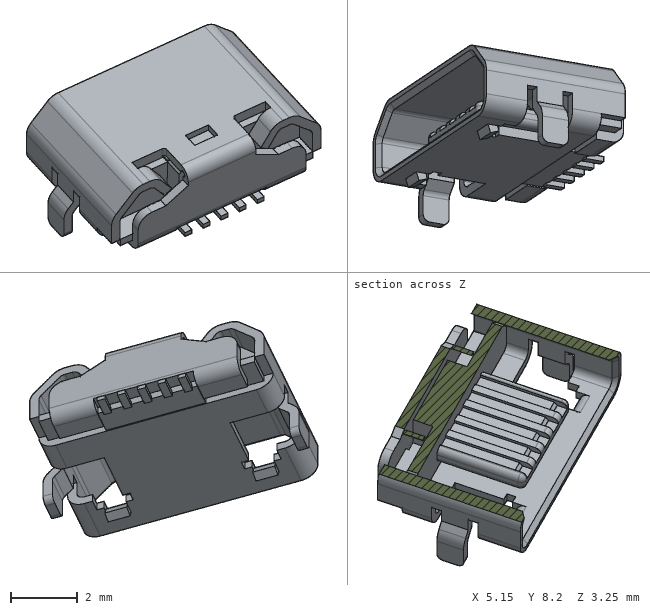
import cadquery as cq
import math


margin = 0.08

wall = 0.3
bend_radius = 0.54
inner_bend_radius = bend_radius - wall

shell_length = 4.69
shell_half_width = 3.755
shell_height = 2.435
shoulder = 0.91
mouth_bevel = 0.155
floor_length = 3.89
roof_underside = shell_height - wall

leg_reach = 4.1
leg_bottom = -0.81
leg_start, leg_end = 1.71, 2.59
leg_slot = 0.32
leg_slot_top = 1.04
leg_corner = 0.21
leg_slant = 45

latch_centre = 2.37
latch_width = 0.705
latch_hinge = 0.57
latch_length = 0.28
latch_angle = 70
relief_start, relief_end = 1.025, 1.3
relief_width = 1.165

notch_start = 3.72
notch_inner, notch_outer = 1.21, 2.39
notch_corner = 0.1
flap_start = 4.02
flap_angle = 55
flap_tip = 1.6

window_start, window_end = 3.625, 4.13
window_width = 0.82
window_depth = 0.22
stop_radius = 0.255

back = 5.01
plate_front = back - wall
plate_radius = 0.4
plate_bend = back - plate_radius
plate_half_width = 3.01
plate_corner = 0.49
plate_shoulder = 2.02
plate_shoulder_height = 1.47
plate_tab_start = 4.09
plate_ear_height = 1.895
plate_gap = 1.6
bend_relief = 0.11

housing_front = window_start
housing_wall_end = 3.97
housing_clearance = 0.05
block_bevel = 0.065
block_foot_half_width = 1.3
base_top = 0.57
base_bottom = 0.04

tongue_tip = 0.77
tongue_half_width = 1.74
tongue_bottom, tongue_top = 0.57, 1.165
tongue_round = 0.205
nose_round = 0.2
contact_count = 5
contact_pitch = 0.65
contact_places = [(i - (contact_count - 1) / 2) * contact_pitch for i in range(contact_count)]
groove_width = 0.39
groove_depth = 0.205
contact_setback = 0.33
contact_rise = 0.11
contact_bevel = 0.1

tail_start, tail_end = 4.56, 5.15
tail_width = 0.25
tail_bottom, tail_top = -0.03, 0.13


def box(x_range, y_range, z_range):
    """Box between the given limits."""
    sizes = [high - low for low, high in (x_range, y_range, z_range)]
    corner = (x_range[0], y_range[0], z_range[0])
    return cq.Workplane("XY").box(*sizes, centered=False).translate(corner)


def both_sides(body):
    """The body together with its mirror image across the middle plane."""
    return body.union(body.mirror("XZ"))


def section(inset, start, length):
    """Shell-shaped prism along X, set in from the outside of the shell by `inset`."""
    half = shell_half_width - inset
    bottom, top = inset, shell_height - inset
    cut = shoulder - inset * (2 - math.sqrt(2))
    corners = [
        (-half, bottom),
        (half, bottom),
        (half, top - cut),
        (half - cut, top),
        (cut - half, top),
        (-half, top - cut),
    ]
    sharp = cq.Workplane("YZ").polyline(corners).close().extrude(length)
    rounded = sharp.edges("|X").fillet(bend_radius - inset)
    return rounded.translate((start, 0, 0))


def make_tube():
    tube = section(0, 0, shell_length).cut(section(wall, 0, shell_length))
    mouth_edges = tube.faces("<X").val().innerWires()[0].Edges()
    tube = tube.newObject(mouth_edges).chamfer(mouth_bevel)
    wide = shell_half_width + margin
    tube = tube.cut(box((floor_length, shell_length), (-wide, wide), (0, bend_radius)))
    return tube.cut(
        box((plate_bend, shell_length), (-notch_inner, notch_inner), (roof_underside, shell_height))
    )


def make_leg_opening():
    """Slots beside a leg and the floor cut-out that the leg and the latch are folded from."""
    start, end = leg_start - leg_slot, leg_end + leg_slot
    outside = shell_half_width + margin
    latch_inside, latch_outside = latch_centre - latch_width / 2, latch_centre + latch_width / 2
    relief_inside, relief_outside = latch_centre - relief_width / 2, latch_centre + relief_width / 2
    opening = box((start, end), (latch_inside, outside), (-margin, bend_radius))
    for low, high in ((start, leg_start), (leg_end, end)):
        opening = opening.union(box((low, high), (shell_half_width - 2 * wall, outside), (0, leg_slot_top)))
    return (
        opening.union(box((latch_hinge, start), (latch_inside, latch_outside), (-margin, wall)))
        .union(box((relief_start, relief_end), (relief_inside, latch_inside), (-margin, wall)))
        .union(box((relief_start, start), (latch_outside, relief_outside), (-margin, wall)))
    )


def make_leg():
    """Leg that slants outwards from the side wall and then hangs straight down."""
    slant = math.radians(leg_slant)
    centre_y = leg_reach - bend_radius
    outer_y = centre_y + bend_radius * math.cos(slant)
    outer_z = bend_radius * math.sin(slant)
    inner_y = centre_y + inner_bend_radius * math.cos(slant)
    inner_z = inner_bend_radius * math.sin(slant)
    half = slant / 2
    root_z = outer_z + (outer_y - shell_half_width) * math.tan(slant)
    inner_root_z = inner_z + (inner_y - shell_half_width + wall) * math.tan(slant)
    leg = (
        cq.Workplane("YZ")
        .moveTo(leg_reach, leg_bottom)
        .lineTo(leg_reach, 0)
        .threePointArc(
            (centre_y + bend_radius * math.cos(half), bend_radius * math.sin(half)), (outer_y, outer_z)
        )
        .lineTo(shell_half_width, root_z)
        .lineTo(shell_half_width - wall, root_z)
        .lineTo(shell_half_width - wall, inner_root_z)
        .lineTo(inner_y, inner_z)
        .threePointArc(
            (centre_y + inner_bend_radius * math.cos(half), inner_bend_radius * math.sin(half)),
            (leg_reach - wall, 0),
        )
        .lineTo(leg_reach - wall, leg_bottom)
        .close()
        .extrude(leg_end - leg_start)
        .translate((leg_start, 0, 0))
    )
    return leg.faces("<Z").edges("|Y").fillet(leg_corner)


def make_latch():
    """Strip of the floor folded down about its underside."""
    turn = math.radians(latch_angle)
    along = (math.cos(turn) * latch_length, -math.sin(turn) * latch_length)
    across = (math.sin(turn) * wall, math.cos(turn) * wall)
    middle = (math.sin(turn / 2) * wall, math.cos(turn / 2) * wall)
    return (
        cq.Workplane("XZ")
        .lineTo(0, wall)
        .threePointArc(middle, across)
        .lineTo(across[0] + along[0], across[1] + along[1])
        .lineTo(*along)
        .close()
        .extrude(latch_width / 2, both=True)
        .translate((latch_hinge, latch_centre, 0))
    )


def make_notch():
    notch = box((notch_start, shell_length), (notch_inner, notch_outer), (roof_underside, shell_height))
    return notch.edges("|Z and <X and <Y").fillet(notch_corner)


def make_flap():
    """Strip of the roof bent down towards the middle."""
    turn = math.radians(flap_angle)
    centre_z = shell_height - bend_radius

    def on_bend(radius, angle):
        return (notch_outer - radius * math.sin(angle), centre_z + radius * math.cos(angle))

    arc_end = on_bend(bend_radius, turn)
    inner_arc_end = on_bend(inner_bend_radius, turn)
    run = arc_end[0] - flap_tip
    drop = run * math.tan(turn)
    return (
        cq.Workplane("YZ")
        .moveTo(notch_outer, shell_height)
        .threePointArc(on_bend(bend_radius, turn / 2), arc_end)
        .lineTo(flap_tip, arc_end[1] - drop)
        .lineTo(inner_arc_end[0] - run, inner_arc_end[1] - drop)
        .lineTo(*inner_arc_end)
        .threePointArc(on_bend(inner_bend_radius, turn / 2), (notch_outer, roof_underside))
        .close()
        .extrude(shell_length - flap_start)
        .translate((flap_start, 0, 0))
    )


def make_back_plate():
    """Folded strip with a top fold to the roof and a bottom fold on each side."""
    outer = box((plate_tab_start, back), (-plate_half_width, plate_half_width), (0, shell_height))
    outer = outer.edges("|Y and >X").fillet(plate_radius)
    inner = box(
        (plate_tab_start, plate_front), (-plate_half_width, plate_half_width), (wall, roof_underside)
    )
    inner = inner.edges("|Y and >X").fillet(plate_radius - wall)
    right_half = [
        (0, shell_height),
        (notch_inner, shell_height),
        (notch_inner, plate_ear_height),
        (plate_shoulder, plate_shoulder_height),
        (plate_half_width, plate_shoulder_height),
        (plate_half_width, 0),
        (plate_gap, 0),
        (plate_gap, wall),
        (0, wall),
    ]
    outline = cq.Workplane("YZ").polyline(right_half).close().extrude(back)
    outline = outline.edges("|X").edges(">Y").edges(">Z").fillet(plate_corner)
    relief = (
        cq.Workplane("XZ")
        .center(plate_front, roof_underside)
        .circle(bend_relief)
        .extrude(plate_half_width, both=True)
    )
    return outer.cut(inner).intersect(both_sides(outline)).cut(relief)


def make_housing():
    """Front wall across the shell, a block behind its middle and a low base."""
    front_wall = section(wall, housing_front, housing_wall_end - housing_front)
    gap = shoulder + (wall + housing_clearance) * math.sqrt(2)
    shoulder_cut = (
        cq.Workplane("YZ")
        .moveTo(shell_half_width, shell_height)
        .lineTo(shell_half_width - gap, shell_height)
        .lineTo(shell_half_width, shell_height - gap)
        .close()
        .extrude(shell_length)
    )
    bevel_side = notch_inner + block_bevel
    bevel_foot = roof_underside - block_bevel
    step = box((notch_start, housing_wall_end), (bevel_side, notch_outer), (bevel_foot, roof_underside))
    front_wall = front_wall.cut(both_sides(step))
    half_block = (
        cq.Workplane("YZ")
        .moveTo(0, base_bottom)
        .lineTo(plate_gap, base_bottom)
        .lineTo(plate_gap, base_top)
        .lineTo(block_foot_half_width, base_top)
        .lineTo(bevel_side, bevel_foot)
        .lineTo(notch_inner, roof_underside)
        .lineTo(0, roof_underside)
        .close()
        .extrude(plate_bend - notch_start)
        .translate((notch_start, 0, 0))
        .cut(box((notch_start, floor_length), (0, plate_gap), (base_bottom, wall)))
    )
    base_side = box((floor_length, plate_front), (plate_gap, shell_half_width - wall), (wall, base_top))
    housing = front_wall.union(both_sides(half_block)).union(both_sides(base_side))
    return housing.cut(both_sides(shoulder_cut))


def make_tongue():
    tongue = box(
        (tongue_tip, housing_wall_end),
        (-tongue_half_width, tongue_half_width),
        (tongue_bottom, tongue_top),
    )
    tongue = tongue.edges("|X").fillet(tongue_round).faces("<X").edges().fillet(nose_round)
    groove_floor = tongue_top - groove_depth
    for y in contact_places:
        sides = (y - groove_width / 2, y + groove_width / 2)
        groove = box((tongue_tip, housing_front), sides, (groove_floor, tongue_top))
        contact = box(
            (tongue_tip + contact_setback, housing_front), sides, (groove_floor, groove_floor + contact_rise)
        )
        contact = contact.edges("|Y and <X and >Z").chamfer(contact_bevel)
        tongue = tongue.cut(groove.cut(contact))
    return tongue


def make_stop():
    """Pressed stop below the roof window, hollowed by a quarter round in front."""
    hollow_start = window_start - stop_radius
    centre_z = roof_underside - stop_radius
    slope = stop_radius * math.sqrt(0.5)
    return (
        cq.Workplane("XZ")
        .moveTo(hollow_start, roof_underside)
        .threePointArc((hollow_start + slope, centre_z + slope), (window_start, centre_z))
        .lineTo(housing_wall_end, centre_z)
        .lineTo(housing_wall_end, roof_underside)
        .close()
        .extrude(window_width / 2, both=True)
    )


shell = make_tube().cut(both_sides(make_leg_opening())).cut(both_sides(make_notch()))
for feature in (make_leg(), make_latch(), make_flap()):
    shell = shell.union(both_sides(feature))

result = shell.union(make_back_plate()).union(make_housing()).union(make_tongue()).union(make_stop())
for y in contact_places:
    result = result.union(
        box((tail_start, tail_end), (y - tail_width / 2, y + tail_width / 2), (tail_bottom, tail_top))
    )
result = result.cut(
    box(
        (window_start, window_end),
        (-window_width / 2, window_width / 2),
        (shell_height - window_depth, shell_height),
    )
)